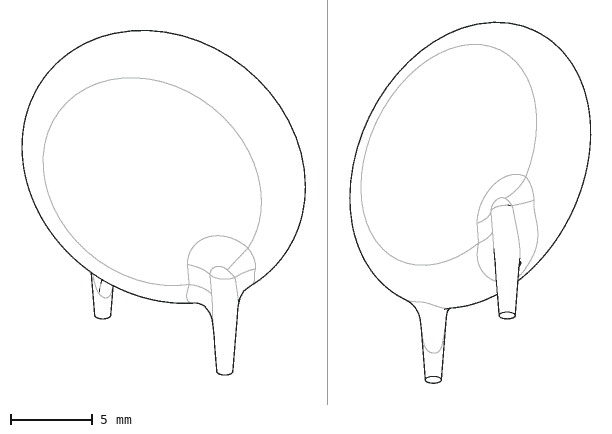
import cadquery as cq
OVERALL_HEIGHT = 21.5

DISC_DIAMETER = 18.3
DISC_THICKNESS = 4.0
DISC_RADIUS = DISC_DIAMETER / 2
HALF_THICKNESS = DISC_THICKNESS / 2
FLAT_RADIUS = DISC_RADIUS - HALF_THICKNESS

LEAD_SPACING = 9.5
LEAD_TOP_RADIUS = 1.0
LEAD_TIP_RADIUS = 0.5
LEAD_TOP_Z = -5.35
LEAD_TIP_Z = DISC_RADIUS - OVERALL_HEIGHT

BLEND_RADIUS = 2.5

PICK_MARGIN = 0.05


def make_disc():
    """Disc with a fully rounded rim, revolved about the Y axis."""
    return (
        cq.Workplane("XY")
        .moveTo(0, -HALF_THICKNESS)
        .lineTo(FLAT_RADIUS, -HALF_THICKNESS)
        .threePointArc((DISC_RADIUS, 0), (FLAT_RADIUS, HALF_THICKNESS))
        .lineTo(0, HALF_THICKNESS)
        .close()
        .revolve(360, (0, 0, 0), (0, 1, 0))
    )


def make_lead(x, y):
    """Vertical tapered pin with a hemispherical top end."""
    return (
        cq.Workplane("YZ")
        .moveTo(0, LEAD_TIP_Z)
        .lineTo(-LEAD_TIP_RADIUS, LEAD_TIP_Z)
        .lineTo(-LEAD_TOP_RADIUS, LEAD_TOP_Z)
        .radiusArc((0, LEAD_TOP_Z + LEAD_TOP_RADIUS), LEAD_TOP_RADIUS)
        .close()
        .revolve(360, (0, 0, 0), (0, 1, 0))
        .translate((x, y, 0))
    )


def junction_box(x, y):
    """Selector for the edges where a lead enters the disc, inboard of the flat face."""
    reach = LEAD_TOP_RADIUS + PICK_MARGIN
    outer_y = y * (1 + PICK_MARGIN / HALF_THICKNESS)
    low_corner = (x - reach, 0, -DISC_RADIUS)
    high_corner = (x + reach, outer_y, LEAD_TOP_Z + reach)
    return cq.selectors.BoxSelector(low_corner, high_corner, boundingbox=True)


def add_lead(body, side):
    """Join one lead to the disc and blend the junction; side is +1 or -1 along X."""
    x = side * LEAD_SPACING / 2
    y = -side * HALF_THICKNESS
    joined = body.union(make_lead(x, y))
    return joined.edges(junction_box(x, y)).fillet(BLEND_RADIUS)


result = make_disc()
for lead_side in (1, -1):
    result = add_lead(result, lead_side)